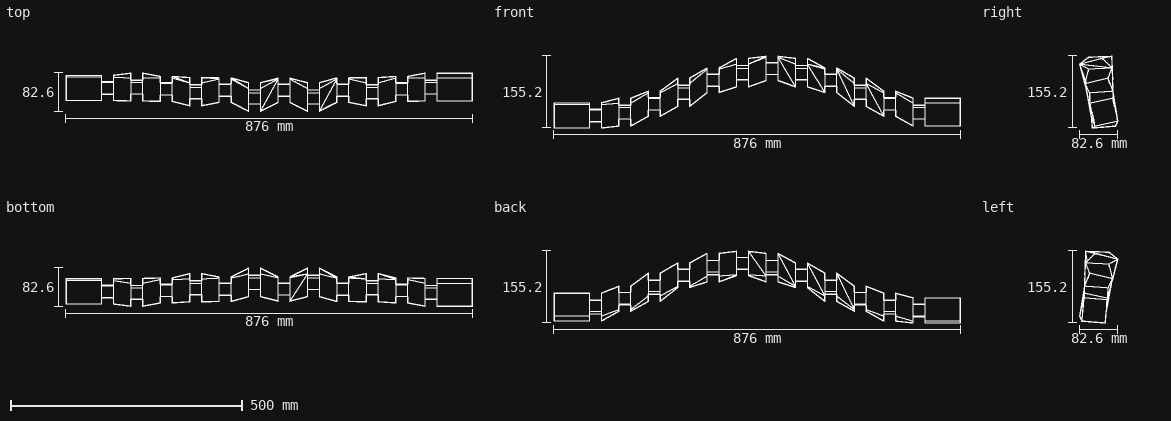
import cadquery as cq
import math

total_length = 876.0
twisted_count = 11
link_count = twisted_count + 1

block_lengths = 1.5
end_lengths = 3.0
chain_lengths = 2 * end_lengths + link_count + twisted_count * block_lengths
link_length = total_length / chain_lengths
block_length = block_lengths * link_length
end_length = end_lengths * link_length

link_side = link_length
block_side = 2 * link_length

arch_height = 4 * link_length
pivot_height = link_length

mean_roll = 8.5
base_swing = 3.8
arch_swing = 2.4


def station(index):
    """Centre height above the pivot before rolling, and roll angle, of one link."""
    arch = (1 - math.cos(2 * math.pi * index / link_count)) / 2
    swing = base_swing + arch_swing * arch
    roll = mean_roll + swing if index % 2 else mean_roll - swing
    return arch * arch_height - pivot_height, math.radians(roll)


def section(index, side):
    """Corners (Y, Z) of a link's square: top front, top back, bottom back, bottom front."""
    height, roll = station(index)
    half = side / 2
    corners = [
        (-half, height + half),
        (half, height + half),
        (half, height - half),
        (-half, height - half),
    ]
    return [
        (
            y * math.cos(roll) - z * math.sin(roll),
            y * math.sin(roll) + z * math.cos(roll),
        )
        for y, z in corners
    ]


def straight_bar(index, side, x, length):
    """Square bar along X with the position and roll of one link."""
    return cq.Workplane("YZ", origin=(x, 0, 0)).polyline(section(index, side)).close().extrude(length)


def flat_face(points):
    wire = cq.Wire.makePolygon([cq.Vector(*point) for point in points], close=True)
    return cq.Face.makeFromWires(wire)


def twisted_block(index, x):
    """Block between the rolled squares of two neighbouring links, each side split in two triangles."""
    left = [(x, y, z) for y, z in section(index, block_side)]
    right = [(x + block_length, y, z) for y, z in section(index + 1, block_side)]
    faces = [flat_face(left), flat_face(right)]
    for corner in range(4):
        following = (corner + 1) % 4
        start, other = (corner, following) if corner % 2 == 0 else (following, corner)
        faces.append(flat_face([left[start], left[other], right[other]]))
        faces.append(flat_face([left[start], right[other], right[start]]))
    return cq.Workplane(cq.Solid.makeSolid(cq.Shell.makeShell(faces)))


def chain():
    x = -total_length / 2
    body = straight_bar(0, block_side, x, end_length)
    x += end_length
    for index in range(link_count):
        body = body.union(straight_bar(index, link_side, x, link_length))
        x += link_length
        if index < twisted_count:
            body = body.union(twisted_block(index, x))
            x += block_length
    return body.union(straight_bar(link_count - 1, block_side, x, end_length))


result = chain().solids()